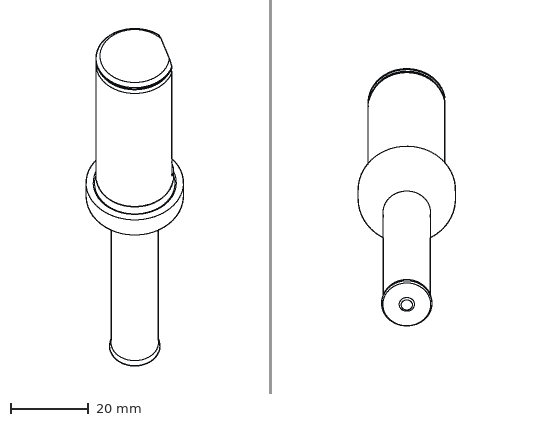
import cadquery as cq
import math

TOTAL_LENGTH = 116.0
SHANK_RADIUS = 20.0 / 2
TOP_CHAMFER_WIDTH = 1.0
TOP_CHAMFER_HEIGHT = 0.8

RING_GROOVE_DEPTH = 0.3
RING_GROOVE_TOP = 114.6
RING_GROOVE_TOP_TAPER = 0.2
RING_GROOVE_FLOOR_END = 113.9
RING_GROOVE_BOTTOM = 112.9

FLAT_OFFSET = 8.2
FLAT_RAMP_BOTTOM = 70.1

RELIEF_RADIUS = 19.5 / 2
RELIEF_TOP = 68.1
RELIEF_TAPER = 0.5
UNDERCUT_RADIUS = 10.7
UNDERCUT_DEPTH = 0.2
UNDERCUT_ROUND_RADIUS = 0.6

COLLAR_RADIUS = 25.0 / 2
COLLAR_TOP = 65.8
COLLAR_CORNER_Z = 59.4
CONE_ANGLE = math.radians(34)
COLLAR_ROUND_RADIUS = 2.3
THROAT_ROUND_RADIUS = 4.0

ROD_RADIUS = 12.2 / 2
ROD_TOP = COLLAR_TOP
FOOT_RADIUS = 6.5
FOOT_TOP = 2.4
BULGE_MIDDLE = (6.4, 1.7)
FOOT_CHAMFER_TOP = 0.9
FOOT_CHAMFER_WIDTH = 0.3
FOOT_BOTTOM = 0.3
BOSS_BASE_RADIUS = 2.0
BOSS_TIP_RADIUS = 2.9 / 2


def cone_point(corner, along):
    """Point on the cone's slope, at a signed distance outward from a corner."""
    radius, z = corner
    return (radius + along * math.cos(CONE_ANGLE), z + along * math.sin(CONE_ANGLE))


def arc_middle(start, end, center, arc_radius):
    """Middle point of the short arc between two points of a circle."""
    mid_x = (start[0] + end[0]) / 2 - center[0]
    mid_z = (start[1] + end[1]) / 2 - center[1]
    stretch = arc_radius / math.hypot(mid_x, mid_z)
    return (center[0] + mid_x * stretch, center[1] + mid_z * stretch)


def make_holder_blank():
    """Turned shank, collar and cone around the rod's blind bore."""
    half_turn = (math.pi / 2 - CONE_ANGLE) / 2
    collar_tangent = COLLAR_ROUND_RADIUS * math.tan(half_turn)
    throat_tangent = THROAT_ROUND_RADIUS * math.tan(half_turn)

    collar_corner = (COLLAR_RADIUS, COLLAR_CORNER_Z)
    cone_drop = (COLLAR_RADIUS - ROD_RADIUS) * math.tan(CONE_ANGLE)
    throat_corner = (ROD_RADIUS, COLLAR_CORNER_Z - cone_drop)

    collar_start = (COLLAR_RADIUS, COLLAR_CORNER_Z + collar_tangent)
    collar_end = cone_point(collar_corner, -collar_tangent)
    collar_center = (COLLAR_RADIUS - COLLAR_ROUND_RADIUS, collar_start[1])
    throat_start = cone_point(throat_corner, throat_tangent)
    throat_end = (ROD_RADIUS, throat_corner[1] - throat_tangent)
    throat_center = (ROD_RADIUS + THROAT_ROUND_RADIUS, throat_end[1])

    undercut_floor = COLLAR_TOP - UNDERCUT_DEPTH
    undercut_center = (RELIEF_RADIUS + UNDERCUT_ROUND_RADIUS, undercut_floor + UNDERCUT_ROUND_RADIUS)
    undercut_start = (RELIEF_RADIUS, undercut_center[1])
    undercut_end = (undercut_center[0], undercut_floor)

    groove_radius = SHANK_RADIUS - RING_GROOVE_DEPTH
    return (
        cq.Workplane("XZ")
        .moveTo(0, TOTAL_LENGTH)
        .lineTo(SHANK_RADIUS - TOP_CHAMFER_WIDTH, TOTAL_LENGTH)
        .lineTo(SHANK_RADIUS, TOTAL_LENGTH - TOP_CHAMFER_HEIGHT)
        .lineTo(SHANK_RADIUS, RING_GROOVE_TOP)
        .lineTo(groove_radius, RING_GROOVE_TOP - RING_GROOVE_TOP_TAPER)
        .lineTo(groove_radius, RING_GROOVE_FLOOR_END)
        .lineTo(SHANK_RADIUS, RING_GROOVE_BOTTOM)
        .lineTo(SHANK_RADIUS, RELIEF_TOP)
        .lineTo(RELIEF_RADIUS, RELIEF_TOP - RELIEF_TAPER)
        .lineTo(*undercut_start)
        .threePointArc(
            arc_middle(undercut_start, undercut_end, undercut_center, UNDERCUT_ROUND_RADIUS),
            undercut_end,
        )
        .lineTo(UNDERCUT_RADIUS, COLLAR_TOP)
        .lineTo(COLLAR_RADIUS, COLLAR_TOP)
        .lineTo(*collar_start)
        .threePointArc(
            arc_middle(collar_start, collar_end, collar_center, COLLAR_ROUND_RADIUS), collar_end
        )
        .lineTo(*throat_start)
        .threePointArc(
            arc_middle(throat_start, throat_end, throat_center, THROAT_ROUND_RADIUS), throat_end
        )
        .lineTo(ROD_RADIUS, ROD_TOP)
        .lineTo(0, ROD_TOP)
        .close()
        .revolve(360, (0, 0, 0), (0, 1, 0))
    )


def make_flat_cutter():
    """Block beyond the flat, with its lower face sloped as the ramp."""
    reach = 2 * SHANK_RADIUS
    ramp_top = FLAT_RAMP_BOTTOM + SHANK_RADIUS - FLAT_OFFSET
    return (
        cq.Workplane("YZ")
        .moveTo(FLAT_OFFSET, TOTAL_LENGTH)
        .lineTo(FLAT_OFFSET, ramp_top)
        .lineTo(SHANK_RADIUS, FLAT_RAMP_BOTTOM)
        .lineTo(reach, FLAT_RAMP_BOTTOM)
        .lineTo(reach, TOTAL_LENGTH)
        .close()
        .extrude(SHANK_RADIUS, both=True)
    )


def make_rod():
    """Turned rod with a bulged foot and a centre boss."""
    return (
        cq.Workplane("XZ")
        .moveTo(0, ROD_TOP)
        .lineTo(ROD_RADIUS, ROD_TOP)
        .lineTo(ROD_RADIUS, FOOT_TOP)
        .threePointArc(BULGE_MIDDLE, (FOOT_RADIUS, FOOT_CHAMFER_TOP))
        .lineTo(FOOT_RADIUS - FOOT_CHAMFER_WIDTH, FOOT_BOTTOM)
        .lineTo(BOSS_BASE_RADIUS, FOOT_BOTTOM)
        .lineTo(BOSS_TIP_RADIUS, 0)
        .lineTo(0, 0)
        .close()
        .revolve(360, (0, 0, 0), (0, 1, 0))
    )


holder = make_holder_blank().cut(make_flat_cutter())
rod = make_rod()

result = cq.Compound.makeCompound([holder.val(), rod.val()])